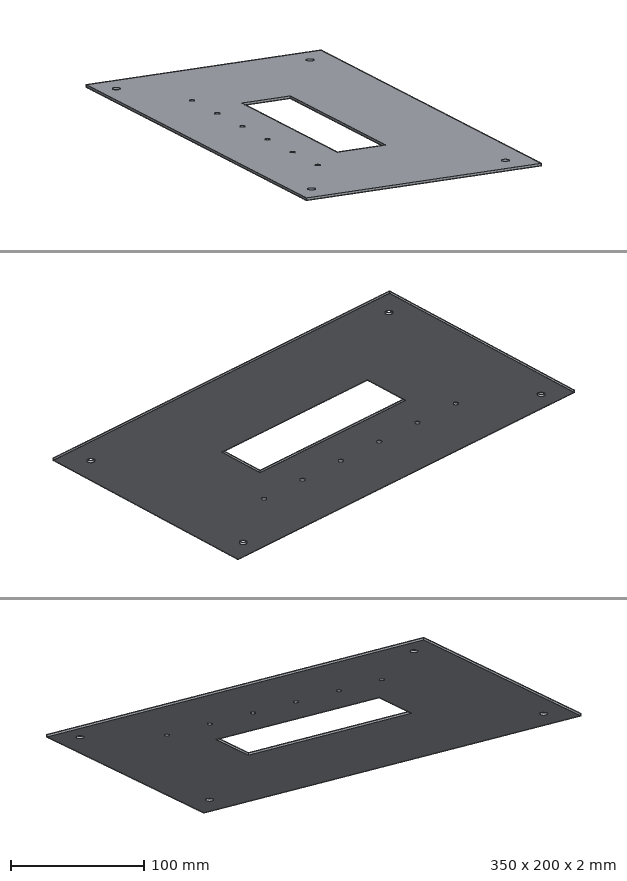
import cadquery as cq

plate_length = 350.0
plate_width = 200.0
plate_thickness = 2.0

window_length = 151.2
window_width = 41.0

mount_hole_diameter = 6.0
mount_spacing_x = 310.0
mount_spacing_y = 165.0
mount_center_y = -2.5

row_hole_diameter = 4.0
row_hole_count = 6
row_pitch = 40.0
row_y = -50.0

plate = cq.Workplane("XY").box(plate_length, plate_width, plate_thickness)

window = cq.Workplane("XY").box(window_length, window_width, 2 * plate_thickness)

mount_holes = (
    cq.Workplane("XY")
    .center(0, mount_center_y)
    .rarray(mount_spacing_x, mount_spacing_y, 2, 2)
    .circle(mount_hole_diameter / 2)
    .extrude(plate_thickness, both=True)
)

row_holes = (
    cq.Workplane("XY")
    .center(0, row_y)
    .rarray(row_pitch, 3.5, row_hole_count, 1)
    .circle(row_hole_diameter / 2)
    .extrude(plate_thickness, both=True)
)

result = plate.cut(window).cut(mount_holes).cut(row_holes)